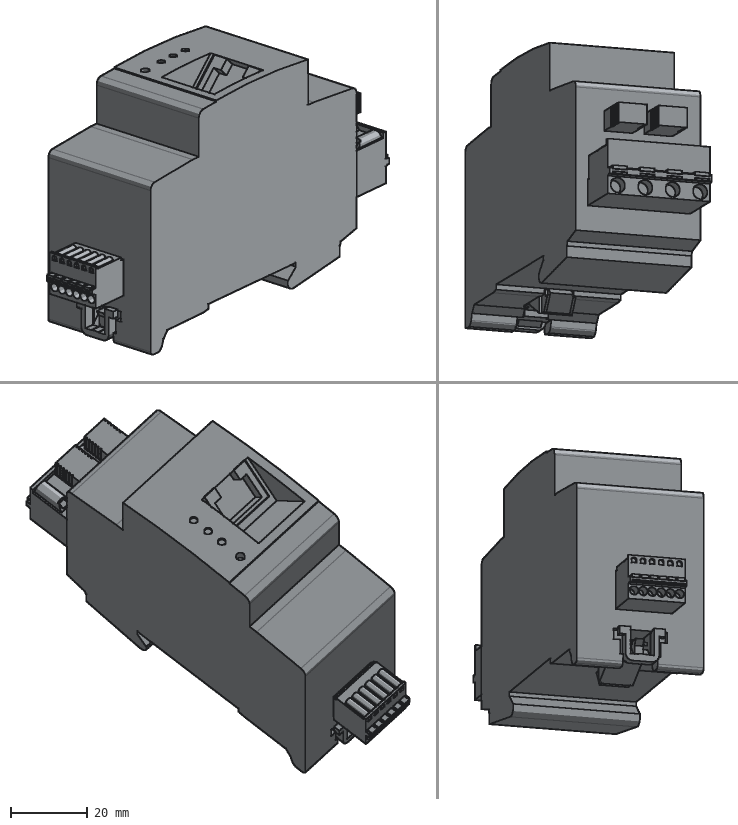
import cadquery as cq
import math


width = 35.0
depth = 85.0
mid_depth = depth / 2
shoulder_low = 49.0
shoulder_high = 50.5
shoulder_flat = 2.5
tower_front = 19.9
tower_back = 65.0
crown_top = 64.8
crown_radius = 199.2
crown_front = 27.1
crown_step = 0.3
brow_front_z = 63.4
tower_fillet = 2.0
shoulder_fillet = 1.9
toe_fillet = 1.2

rail_z = 7.0
rail_front = 23.9
rail_back = 60.0

led_x = -9.5
led_ys = (37.0, 41.9, 47.1)
led_diameter = 2.1
led_depth = 0.6
button_y = 30.4
button_diameter = 2.3
button_depth = 2.3
window_left, window_right = -3.3, 14.7
window_front, window_back = 29.4, 49.9
socket_depth = 3.7
socket_recess = 0.5

foot_lip = 1.9
foot_half = 4.7
foot_inner_half = 3.3
foot_top = 10.3
foot_bottom = 1.0
foot_floor = 2.9
foot_corner = 2.0
ear_half = 6.3
ear_bottom = 8.2
foot_slot_depth = 9.9
slot_top = 9.9
guide_depth = 1.7
lip_back = 1.2
ramp_back = 4.2
plate_bottom, plate_top = 4.9, 5.9
carrier_bottom = 3.1
carrier_back = 6.9
finger_top = 7.7
wedge_back = 21.8
hook_bottom = 0.7
finger_half = 1.2
bar_half = 3.0
wedge_half, hook_half, tip_half = 4.7, 4.0, 3.3

grip_offset = 5.6


def crown_z(y):
    """Height of the curved crown at depth y."""
    return crown_top - crown_radius + math.sqrt(crown_radius**2 - (y - mid_depth) ** 2)


def block(x0, x1, y0, y1, z0, z1):
    """Box given by its limits along the three axes."""
    return cq.Workplane("XY").box(x1 - x0, y1 - y0, z1 - z0, centered=False).translate((x0, y0, z0))


def side_prism(points, x0, x1):
    """Extrude a closed (Y, Z) outline from x0 to x1."""
    return cq.Workplane("YZ", origin=(x0, 0, 0)).polyline(points).close().extrude(x1 - x0)


def fillet_cross_edge(body, y, z, radius):
    """Round the edge that runs along X nearest to the given depth and height."""
    return body.edges("|X").edges(cq.selectors.NearestToPointSelector((0, y, z))).fillet(radius)


def make_housing():
    body = (
        cq.Workplane("YZ", origin=(-width / 2, 0, 0))
        .moveTo(0, 0)
        .lineTo(0, shoulder_low)
        .lineTo(tower_front - shoulder_flat, shoulder_high)
        .lineTo(tower_front, shoulder_high)
        .lineTo(tower_front, brow_front_z)
        .lineTo(crown_front, crown_z(crown_front) - crown_step)
        .lineTo(crown_front, crown_z(crown_front))
        .threePointArc((mid_depth, crown_top), (tower_back, crown_z(tower_back)))
        .lineTo(tower_back, shoulder_high)
        .lineTo(tower_back + shoulder_flat, shoulder_high)
        .lineTo(depth, shoulder_low)
        .lineTo(depth, 8.6)
        .lineTo(78.6, rail_z)
        .lineTo(78.2, 5.8)
        .lineTo(78.2, 2.8)
        .lineTo(59.0, 0)
        .threePointArc((57.2, 0.7), (56.7, 2.9))
        .lineTo(rail_back, 5.8)
        .lineTo(rail_back, rail_z)
        .lineTo(rail_front, rail_z)
        .lineTo(rail_front, 5.6)
        .lineTo(wedge_back, 5.2)
        .lineTo(7.0, 5.1)
        .lineTo(5.4, 3.1)
        .lineTo(4.8, 1.4)
        .threePointArc((4.2, 0.6), (3.3, 0))
        .close()
        .extrude(width)
    )
    body = fillet_cross_edge(body, tower_front, brow_front_z, tower_fillet)
    body = fillet_cross_edge(body, 0, shoulder_low, shoulder_fillet)
    body = fillet_cross_edge(body, depth, shoulder_low, shoulder_fillet)
    return fillet_cross_edge(body, 0, 0, toe_fillet)


def cut_indicators(body):
    for y in led_ys:
        led = cq.Workplane("XY", origin=(led_x, y, crown_z(y) - led_depth))
        body = body.cut(led.circle(led_diameter / 2).extrude(2 * led_depth))
    button = cq.Workplane("XY", origin=(led_x, button_y, crown_z(button_y) - button_depth))
    return body.cut(button.circle(button_diameter / 2).extrude(2 * button_depth))


def cut_socket_window(body):
    """Cut the 45 degree V window and the network socket in its front-facing slope."""
    valley_y = (window_front + window_back) / 2
    half_span = (window_back - window_front) / 2
    valley_z = crown_z(window_back) - half_span
    window = side_prism(
        [
            (window_front, crown_top),
            (window_front, valley_z + half_span),
            (valley_y, valley_z),
            (window_back, valley_z + half_span),
            (window_back, crown_top),
        ],
        window_left,
        window_right,
    )
    body = body.cut(window)

    slope = cq.Plane(
        origin=((window_left + window_right) / 2, valley_y, valley_z),
        xDir=(1, 0, 0),
        normal=(0, -1, 1),
    )
    slope_length = half_span * math.sqrt(2)

    def sink(half_width, low, high, sink_depth):
        return (
            cq.Workplane(slope)
            .center(0, (low + high) / 2)
            .rect(2 * half_width, high - low)
            .extrude(-sink_depth)
        )

    opening_top = 11.1
    frame = sink(half_width=7.9, low=2.3, high=slope_length, sink_depth=socket_recess)
    opening = sink(half_width=6.2, low=3.4, high=opening_top, sink_depth=socket_depth)
    latch = sink(half_width=3.7, low=opening_top - 0.6, high=slope_length, sink_depth=socket_depth)
    return body.cut(frame).cut(opening).cut(latch)


def cut_foot_slot(body):
    """Clear the front of the housing around the sliding foot."""
    ear_pocket = block(-7.3, 7.3, 0, guide_depth, rail_z, slot_top)
    leg_pocket = block(-5.6, 5.6, 0, guide_depth, carrier_bottom, rail_z)
    toe_notch = block(-4.8, 4.8, 0, carrier_back, 0, carrier_bottom)
    tunnel = block(-foot_inner_half, foot_inner_half, 0, foot_slot_depth, foot_floor, slot_top)
    return body.cut(ear_pocket).cut(leg_pocket).cut(toe_notch).cut(tunnel)


def make_foot():
    """Sliding foot: pull lip at the front, plate under the housing, hook for the rail."""
    lip = block(-foot_half, foot_half, -foot_lip, lip_back, foot_bottom, foot_top)
    lip = lip.edges("|Y and <Z").fillet(foot_corner)
    ears = block(-ear_half, ear_half, -foot_lip, 0, ear_bottom, foot_top)
    hollow = block(-foot_inner_half, foot_inner_half, -foot_lip, lip_back, foot_floor, foot_top)

    carrier = side_prism(
        [
            (lip_back, 1.7),
            (2.6, carrier_bottom),
            (carrier_back, carrier_bottom),
            (carrier_back, plate_bottom),
            (foot_slot_depth, plate_bottom),
            (foot_slot_depth, plate_top),
            (ramp_back, plate_top),
            (lip_back, foot_floor),
        ],
        -foot_inner_half,
        foot_inner_half,
    )
    finger = side_prism(
        [
            (-foot_lip, 2.7),
            (-foot_lip, 3.0),
            (1.4, 3.0),
            (1.4, 6.0),
            (0.2, finger_top),
            (ramp_back, finger_top),
            (ramp_back, 5.2),
            (1.7, 2.7),
        ],
        -finger_half,
        finger_half,
    )
    bar = block(-bar_half, bar_half, ramp_back - 0.7, ramp_back, finger_top - 0.7, finger_top)

    wedge = side_prism(
        [
            (foot_slot_depth, plate_bottom),
            (13.7, plate_bottom),
            (wedge_back, hook_bottom),
            (wedge_back, plate_top),
            (foot_slot_depth, plate_top),
        ],
        -wedge_half,
        wedge_half,
    )
    hook_cheeks = side_prism(
        [
            (wedge_back, hook_bottom),
            (23.5, hook_bottom),
            (26.3, 4.8),
            (24.6, 4.8),
            (24.6, 6.5),
            (rail_front, 6.5),
            (wedge_back, plate_top),
        ],
        -hook_half,
        hook_half,
    )
    hook_tip = side_prism(
        [
            (wedge_back, hook_bottom),
            (23.5, hook_bottom),
            (26.7, 5.2),
            (24.9, 6.8),
            (rail_front, 6.8),
            (wedge_back, plate_top),
        ],
        -tip_half,
        tip_half,
    )
    foot = lip.union(ears).cut(hollow)
    for piece in (carrier, finger, bar, wedge, hook_cheeks, hook_tip):
        foot = foot.union(piece)
    return foot


def pole_positions(centre, poles, pitch):
    return [centre + (i - (poles - 1) / 2) * pitch for i in range(poles)]


def make_plug(
    pole_xs, half_width, reach, bottom, top, step_z, step_reach,
    ridge_top, ridge_start, ridge_width, end_wall,
    tab_bottom, tab_top, tab_width, wire_diameter, wire_z,
):
    """Pluggable terminal block facing -Y, with the housing face at Y = 0.

    Each pole has a rounded ridge on top, a release tab on the outer face and a round wire
    entry below it. All reaches and starts are distances from the housing face.
    """
    gap = 0.5
    wire_depth = 3.5
    rail_reach, tab_reach = 1.4, 1.7
    rail_bevel = 0.3
    groove_depth, groove_half = 0.3, 0.3
    centre = (pole_xs[0] + pole_xs[-1]) / 2
    left, right = centre - half_width, centre + half_width

    plug = side_prism(
        [
            (-gap, bottom),
            (-gap, step_z),
            (-step_reach, step_z),
            (-step_reach, top),
            (end_wall - reach, top),
            (end_wall - reach, ridge_top),
            (-reach, ridge_top),
            (-reach, bottom),
        ],
        left,
        right,
    )
    plug = plug.union(block(left + gap, right - gap, -gap, 0, bottom + gap, step_z - gap))

    def nose(nose_reach, nose_top, x0, x1):
        return side_prism(
            [
                (-reach, tab_bottom),
                (-reach - 0.7, tab_bottom + 0.3),
                (-reach - nose_reach, tab_bottom + 0.3),
                (-reach - nose_reach, nose_top),
                (-reach, nose_top),
            ],
            x0,
            x1,
        )

    rail = nose(rail_reach, tab_top - rail_bevel, left, right)
    rail = rail.edges("|X and <Y and >Z").chamfer(rail_bevel)
    plug = plug.union(rail)
    tab_half = tab_width / 2
    tab_middle = (tab_bottom + tab_top) / 2
    for x in pole_xs:
        dome = (
            cq.Workplane("XZ", origin=(x, -ridge_start, top))
            .moveTo(-ridge_width / 2, 0)
            .threePointArc((0, ridge_top - top), (ridge_width / 2, 0))
            .close()
            .extrude(reach - end_wall - ridge_start)
        )
        groove = block(
            x - tab_half,
            x + tab_half,
            -reach - tab_reach,
            -reach - tab_reach + groove_depth,
            tab_middle - groove_half,
            tab_middle + groove_half,
        )
        tab = nose(tab_reach, tab_top, x - tab_half, x + tab_half).cut(groove)
        entry = cq.Workplane("XZ", origin=(x, -reach, wire_z)).circle(wire_diameter / 2).extrude(-wire_depth)
        plug = plug.union(dome).union(tab).cut(entry)
    return plug


def make_front_plug():
    reach = 12.0
    pole_xs = pole_positions(centre=0.8, poles=6, pitch=2.5)
    plug = make_plug(
        pole_xs, half_width=7.8, reach=reach, bottom=15.0, top=26.2, step_z=25.4, step_reach=1.4,
        ridge_top=26.9, ridge_start=4.2, ridge_width=2.1, end_wall=0.8,
        tab_bottom=19.0, tab_top=21.3, tab_width=2.0, wire_diameter=2.3, wire_z=17.4,
    )
    notch_bottom, notch_half, notch_depth = 24.9, 0.7, 0.7
    for x in pole_xs:
        notch = (
            cq.Workplane("XZ", origin=(x, -reach, notch_bottom))
            .moveTo(-notch_half, 0)
            .lineTo(-notch_half, notch_half)
            .threePointArc((0, 2 * notch_half), (notch_half, notch_half))
            .lineTo(notch_half, 0)
            .close()
            .extrude(-notch_depth)
        )
        plug = plug.cut(notch)
    return plug


def make_rear_plug():
    half_width, top, ridge_top, ridge_start = 14.3, 28.7, 30.2, 5.2
    pole_xs = pole_positions(centre=0, poles=4, pitch=7.7)
    plug = make_plug(
        pole_xs, half_width=half_width, reach=16.0, bottom=15.4, top=top, step_z=22.5, step_reach=1.3,
        ridge_top=ridge_top, ridge_start=ridge_start, ridge_width=4.4, end_wall=1.0,
        tab_bottom=20.2, tab_top=22.7, tab_width=4.0, wire_diameter=4.0, wire_z=17.8,
    )
    slope_end = ridge_start + 2.3
    pocket_half = 1.2
    pocket_floor = top + 0.2
    slope = side_prism(
        [(-ridge_start, top), (-slope_end, ridge_top), (-ridge_start, ridge_top)], -half_width, half_width
    )
    plug = plug.cut(slope)
    for x in pole_xs:
        pocket = block(x - pocket_half, x + pocket_half, -slope_end, -ridge_start, pocket_floor, ridge_top)
        plug = plug.cut(pocket)
    return plug.rotate((0, 0, 0), (0, 0, 1), 180).translate((0, depth, 0))


def make_grip(x):
    """Rear connector with finger grooves down both sides."""
    half, reach, bottom, top = 4.0, 11.3, 36.0, 41.4
    groove_count, groove_pitch, groove_width, groove_depth = 6, 1.0, 0.3, 0.3
    first_groove = depth + reach - 0.5
    grip = block(x - half, x + half, depth, depth + reach, bottom, top)
    for i in range(groove_count):
        y = first_groove - i * groove_pitch
        for side in (x - half, x + half - groove_depth):
            grip = grip.cut(block(side, side + groove_depth, y - groove_width, y, bottom, top))
    return grip


housing = cut_foot_slot(cut_socket_window(cut_indicators(make_housing())))
result = housing.union(make_foot()).union(make_front_plug()).union(make_rear_plug())
for grip_x in (-grip_offset, grip_offset):
    result = result.union(make_grip(grip_x))